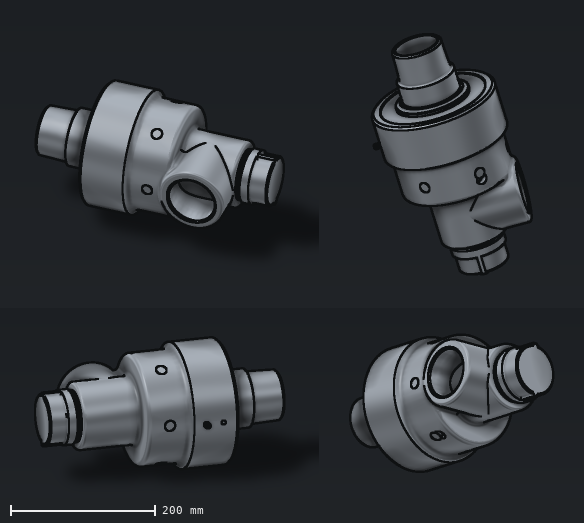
import cadquery as cq
import math

thread_chamfer = 2.7
thread_end = 44.0
shaft_start = 47.0
collar_start = 76.5
collar_end = 78.5
flange_start = 80.2
drum_start = 84.0
drum_chamfer = 3.5
drum_end = 149.5
housing_start = 158.5
housing_end = 213.2
neck_end = 296.5
washer_end = 299.3
nut_start = 303.7
nut_end = 316.0
total_length = 342.8

thread_tip_radius = 35.5
thread_root_radius = 37.0
shaft_radius = 83.3 / 2
collar_radius = 91.5 / 2
flange_radius = 106.0 / 2
flange_chamfer = 1.0
collar_chamfer = 0.7
drum_radius = 178.3 / 2
shoulder_radius = 87.0
housing_radius = 159.8 / 2
neck_radius = 48.0
washer_radius = 36.5
stub_radius = 31.0
nut_radius = 77.8 / 2
sleeve_radius = 71.3 / 2

housing_round = 6.0
neck_round = 4.0
sleeve_chamfer = 2.0

pick_margin = 0.5

recess_radius = 151 / 2
recess_depth = 1.0

inlet_radius = 60.5 / 2
inlet_depth = 26.7
inlet_chamfer = 1.0

port_x = 249.0
port_radius = 47.5
port_end_y = -83.0
port_round = 4.5
port_mouth_radius = 72.7 / 2
port_thread_radius = 68.0 / 2
port_bore_radius = 65.5 / 2
port_mouth_depth = 2.0
port_thread_depth = 24.0
core_radius = 88.5 / 2

plug_diameter = 15.0
plug_x = 182.0
plug_count = 6
plug_flat_depth = 0.5
weep_x = 191.0
weep_depth = 13.7
weep_angle = 60

drum_plug_x = 107.0
drum_plug_diameter = 6.0
drum_plug_depth = 0.5

key_width = 6.0
key_chamfer = 1.0
key_root_round = 2.0

nipple_x = 132.0
nipple_top = 98.5
nipple_base_radius = 3.8
nipple_neck_radius = 6.0 / 2
nipple_base_height = 3.0
nipple_neck_height = 1.7
nipple_embed = 3.5
nipple_top_chamfer = 1.7


def x_cylinder(x_from, x_to, radius):
    return cq.Workplane("YZ", origin=(x_from, 0, 0)).circle(radius).extrude(x_to - x_from)


def y_cylinder(x, y_from, y_to, radius):
    """Cylinder running from y_from towards larger Y."""
    plane = cq.Workplane("XZ", origin=(x, y_to, 0))
    return plane.circle(radius).extrude(y_to - y_from)


def spin(profile):
    return profile.close().revolve(360, (0, 0, 0), (1, 0, 0))


def cove_middle(start_x, start_radius, cove):
    """Middle point of a quarter-round cove that rises from a cylinder to a face."""
    return (
        start_x + cove * math.sin(math.pi / 4),
        start_radius + cove * (1 - math.cos(math.pi / 4)),
    )


def inlet_end():
    """Tapered thread, shaft, collar and flange in front of the drum."""
    thread_cove = shaft_start - thread_end
    collar_cove = flange_start - collar_end
    return spin(
        cq.Workplane("XY")
        .moveTo(0, 0)
        .lineTo(0, thread_tip_radius - thread_chamfer)
        .lineTo(thread_chamfer, thread_tip_radius)
        .lineTo(thread_end, thread_root_radius)
        .threePointArc(
            cove_middle(thread_end, thread_root_radius, thread_cove),
            (shaft_start, thread_root_radius + thread_cove),
        )
        .lineTo(shaft_start, shaft_radius)
        .lineTo(collar_start, shaft_radius)
        .lineTo(collar_start, collar_radius - collar_chamfer)
        .lineTo(collar_start + collar_chamfer, collar_radius)
        .lineTo(collar_end, collar_radius)
        .threePointArc(
            cove_middle(collar_end, collar_radius, collar_cove),
            (flange_start, collar_radius + collar_cove),
        )
        .lineTo(flange_start, flange_radius - flange_chamfer)
        .lineTo(flange_start + flange_chamfer, flange_radius)
        .lineTo(drum_start + recess_depth, flange_radius)
        .lineTo(drum_start + recess_depth, 0)
    )


def drum_and_housing():
    """Large drum, curved shoulder and rounded housing, with a shallow front recess."""
    run = housing_start - drum_end
    drop = shoulder_radius - housing_radius
    arc_radius = (run**2 + drop**2) / (2 * drop)
    half_angle = math.atan2(drop, run)
    shoulder_mid = (
        housing_start - arc_radius * math.sin(half_angle),
        housing_radius + arc_radius * (1 - math.cos(half_angle)),
    )
    corner = housing_round * (1 - math.cos(math.pi / 4))
    return spin(
        cq.Workplane("XY")
        .moveTo(drum_start + recess_depth, 0)
        .lineTo(drum_start + recess_depth, recess_radius)
        .lineTo(drum_start, recess_radius + recess_depth)
        .lineTo(drum_start, drum_radius - drum_chamfer)
        .lineTo(drum_start + drum_chamfer, drum_radius)
        .lineTo(drum_end, drum_radius)
        .lineTo(drum_end, shoulder_radius)
        .threePointArc(shoulder_mid, (housing_start, housing_radius))
        .lineTo(housing_end - housing_round, housing_radius)
        .threePointArc(
            (housing_end - corner, housing_radius - corner),
            (housing_end, housing_radius - housing_round),
        )
        .lineTo(housing_end, 0)
    )


def neck_and_port():
    neck = x_cylinder(housing_end - housing_round, neck_end, neck_radius)
    neck = neck.faces(">X").edges().fillet(neck_round)
    port = y_cylinder(port_x, port_end_y, 0, port_radius)
    port = port.faces("<Y").edges().fillet(port_round)
    return neck, port


def across_slab(width):
    """Slab through the whole part, centred on the XZ plane."""
    return cq.Workplane("XY").box(3 * total_length, width, 2 * drum_radius)


def keyed_sleeve():
    """Bevelled sleeve with one key on top and one below, rounded at their roots."""
    sleeve = x_cylinder(nut_end, total_length, sleeve_radius)
    keys = x_cylinder(nut_end, total_length, nut_radius).faces(">X").edges().chamfer(key_chamfer)
    keys = keys.intersect(across_slab(key_width))
    key_roots = cq.selectors.BoxSelector(
        (nut_end, -key_width, -sleeve_radius),
        (total_length, key_width, sleeve_radius),
    )
    keys = sleeve.union(keys).edges("|X").edges(key_roots).fillet(key_root_round)
    keys = keys.intersect(across_slab(key_width + 2 * key_root_round))
    return sleeve.faces(">X").edges().chamfer(sleeve_chamfer).union(keys)


def shoulder_cove():
    """Ring with a quarter-round cove where the sleeve meets the nut."""
    cove_start_x = nut_end + key_root_round
    middle_x, middle_radius = cove_middle(0, sleeve_radius, key_root_round)
    return spin(
        cq.Workplane("XY")
        .moveTo(nut_end, 0)
        .lineTo(nut_end, sleeve_radius + key_root_round)
        .threePointArc(
            (cove_start_x - middle_x, middle_radius),
            (cove_start_x, sleeve_radius),
        )
        .lineTo(cove_start_x, 0)
    )


def outlet_end():
    """Washer, stub, nut and keyed sleeve behind the neck."""
    washer = x_cylinder(neck_end, washer_end, washer_radius)
    stub = x_cylinder(washer_end, nut_start, stub_radius)
    nut = x_cylinder(nut_start, nut_end, nut_radius)
    return washer.union(stub).union(nut).union(keyed_sleeve()).union(shoulder_cove())


def port_bore():
    """Threaded mouth and bore of the port, closed by a round core on the main axis."""
    mouth_y = port_mouth_depth + port_end_y
    thread_y = port_thread_depth + port_end_y
    bore = (
        cq.Workplane("XY")
        .moveTo(port_x, port_end_y)
        .lineTo(port_x + port_mouth_radius, port_end_y)
        .lineTo(port_x + port_thread_radius, mouth_y)
        .lineTo(port_x + port_bore_radius, thread_y)
        .lineTo(port_x + port_bore_radius, 0)
        .lineTo(port_x, 0)
        .close()
        .revolve(360, (port_x, 0, 0), (port_x, 1, 0))
    )
    return bore.cut(x_cylinder(housing_end, neck_end, core_radius))


def inlet_bore():
    bore = x_cylinder(0, inlet_depth, inlet_radius)
    lead_in = cq.Workplane("YZ").circle(inlet_radius + inlet_chamfer)
    lead_in = lead_in.workplane(offset=inlet_chamfer).circle(inlet_radius).loft(ruled=True)
    return bore.union(lead_in)


def housing_cut(x, depth, angle):
    """Flat-bottomed round cut into the housing; angle 0 faces -Y and +90 faces +Z."""
    drill = y_cylinder(x, -drum_radius, depth - housing_radius, plug_diameter / 2)
    return drill.rotate((0, 0, 0), (1, 0, 0), -angle)


def nipple():
    neck_from = drum_radius + nipple_base_height
    neck_to = neck_from + nipple_neck_height
    stem = y_cylinder(nipple_x, drum_radius - nipple_embed, neck_from, nipple_base_radius)
    waist = y_cylinder(nipple_x, neck_from, neck_to, nipple_neck_radius)
    head = y_cylinder(nipple_x, neck_to, nipple_top, nipple_base_radius)
    head = head.faces(">Y").edges().chamfer(nipple_top_chamfer)
    return stem.union(waist).union(head)


def housing_with_branches():
    """Housing, neck and side port, blended where the branches leave the rear face."""
    neck, port = neck_and_port()
    body = drum_and_housing().union(neck).union(port)
    reach = neck_radius + pick_margin
    rear_edges = cq.selectors.BoxSelector(
        (housing_end - pick_margin, port_end_y, -reach),
        (housing_end + pick_margin, reach, reach),
        boundingbox=True,
    )
    return body.edges(rear_edges).fillet(housing_round)


def drum_plug_cut():
    return y_cylinder(drum_plug_x, drum_radius - drum_plug_depth, drum_radius, drum_plug_diameter / 2)


def plug_cuts():
    """Flat plug faces all around the housing, and one weep hole beside a lower plug."""
    weep = housing_cut(weep_x, weep_depth, -weep_angle)
    cuts = weep.cut(housing_cut(plug_x, weep_depth, -weep_angle))
    for index in range(plug_count):
        cuts = cuts.union(housing_cut(plug_x, plug_flat_depth, index * 360 / plug_count))
    return cuts


result = housing_with_branches().cut(plug_cuts()).cut(drum_plug_cut())
result = result.union(inlet_end()).union(outlet_end()).union(nipple())
result = result.cut(inlet_bore()).cut(port_bore())